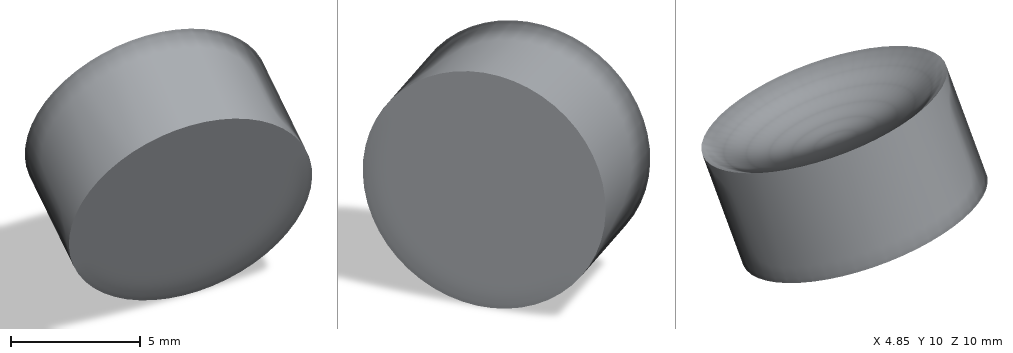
import cadquery as cq
import math

diameter = 10.0
edge_thickness = 4.85
concave_depth = 1.44

radius = diameter / 2
sphere_radius = (radius**2 + concave_depth**2) / (2 * concave_depth)

mid_height = radius / 2
mid_x = concave_depth - sphere_radius + math.sqrt(sphere_radius**2 - mid_height**2)

half_section = (
    cq.Workplane("XZ")
    .moveTo(concave_depth, 0)
    .threePointArc((mid_x, mid_height), (0, radius))
    .lineTo(edge_thickness, radius)
    .lineTo(edge_thickness, 0)
    .close()
)

result = half_section.revolve(360, (0, 0, 0), (1, 0, 0))